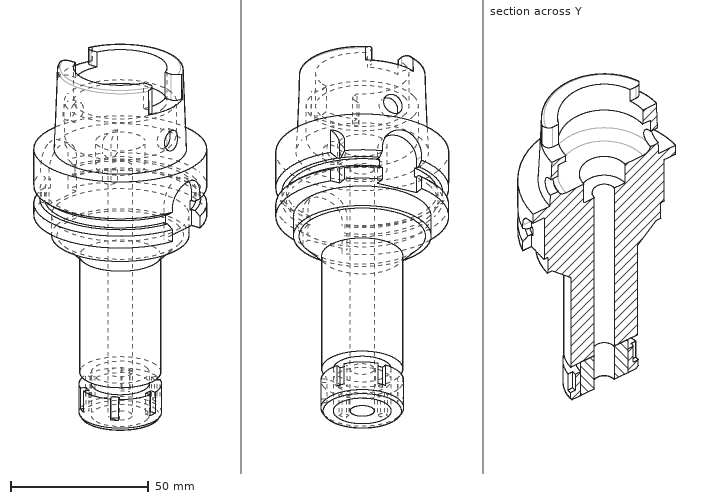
import cadquery as cq
import math

total_height = 137.0
taper_length = 32.0
flange_top = total_height - taper_length
flange_bottom = flange_top - 26.0
collar_bottom = flange_bottom - 8.0
cone_bottom = collar_bottom - 8.1
neck_height = 4.5
nut_height = 12.5
shank_bottom = nut_height + neck_height

taper_top_radius = 22.9
taper_base_radius = 24.1
taper_edge_round = 1.0
flange_radius = 31.5
collar_radius = 25.1
cone_top_radius = 23.0
shank_radius = 14.8

groove_radius = 27.5
groove_top = flange_top - 16.2
groove_width = 3.5
groove_chamfer_height = 1.6
groove_chamfer_depth = 2.2

clamp_bore_radius = 17.0
clamp_bore_depth = 13.3
undercut_radius = 20.4
undercut_round = undercut_radius - clamp_bore_radius
clamp_bore_floor = total_height - 29.2
back_bore_radius = 9.0
back_bore_depth = 9.6
through_radius = 4.4

drive_slot_width = 12.6
drive_slot_round = 2.5
left_drive_slot_depth = 5.9
right_drive_slot_depth = 10.1

access_hole_radius = 3.8
access_hole_height = total_height - 22.7

gripper_slot_width = 16.2
gripper_slot_floor = 26.6
gripper_slot_center = flange_top - 12.9
notch_corner = 20.3
notch_radius = 5.8
notch_center = flange_top - 10.8

collet_radius = 10.5
nut_radius = 15.1
nut_chamfer_height = 1.2
nut_chamfer_depth = 0.8
nut_slot_count = 6
nut_slot_width = 3.0
nut_slot_depth = 8.2
nut_slot_floor = 12.9


def cylinder(radius, bottom, top):
    return cq.Workplane("XY").workplane(offset=bottom).circle(radius).extrude(top - bottom)


def block(x_range, y_range, z_range):
    """Box between the given pairs of limits."""
    sizes = [high - low for low, high in (x_range, y_range, z_range)]
    return cq.Workplane("XY").box(*sizes, centered=False).translate((x_range[0], y_range[0], z_range[0]))


def holder_blank():
    """Turned outside of the holder, from the taper down to the shank."""
    groove_bottom = groove_top - groove_width
    chamfer_radius = flange_radius - groove_chamfer_depth
    taper = (
        cq.Workplane("XZ")
        .moveTo(0, flange_top)
        .lineTo(taper_base_radius, flange_top)
        .lineTo(taper_top_radius, total_height)
        .lineTo(0, total_height)
        .close()
        .revolve(360, (0, 0), (0, 1))
        .faces(">Z")
        .edges()
        .fillet(taper_edge_round)
    )
    lower_part = (
        cq.Workplane("XZ")
        .moveTo(0, flange_top)
        .lineTo(flange_radius, flange_top)
        .lineTo(flange_radius, groove_top + groove_chamfer_height)
        .lineTo(chamfer_radius, groove_top)
        .lineTo(groove_radius, groove_top)
        .lineTo(groove_radius, groove_bottom)
        .lineTo(chamfer_radius, groove_bottom)
        .lineTo(flange_radius, groove_bottom - groove_chamfer_height)
        .lineTo(flange_radius, flange_bottom)
        .lineTo(collar_radius, flange_bottom)
        .lineTo(collar_radius, collar_bottom)
        .lineTo(cone_top_radius, collar_bottom)
        .lineTo(shank_radius, cone_bottom)
        .lineTo(shank_radius, shank_bottom)
        .lineTo(0, shank_bottom)
        .close()
        .revolve(360, (0, 0), (0, 1))
    )
    return taper.union(lower_part)


def holder_bore():
    """Stepped bore: clamping bore with an undercut, back bore and through hole."""
    undercut_start = total_height - clamp_bore_depth
    back_bore_floor = clamp_bore_floor - back_bore_depth
    return (
        cq.Workplane("XZ")
        .moveTo(0, total_height)
        .lineTo(clamp_bore_radius, total_height)
        .lineTo(clamp_bore_radius, undercut_start)
        .lineTo(undercut_radius, undercut_start)
        .lineTo(undercut_radius, clamp_bore_floor + undercut_round)
        .radiusArc((undercut_radius - undercut_round, clamp_bore_floor), undercut_round)
        .lineTo(back_bore_radius, clamp_bore_floor)
        .lineTo(back_bore_radius, back_bore_floor)
        .lineTo(through_radius, back_bore_floor)
        .lineTo(through_radius, shank_bottom)
        .lineTo(0, shank_bottom)
        .close()
        .revolve(360, (0, 0), (0, 1))
    )


def drive_slot(side, depth):
    """Slot across one side of the taper wall, flaring outward with rounded mouth corners."""
    half_width = drive_slot_width / 2
    round_y = half_width + drive_slot_round
    round_x = math.sqrt((taper_top_radius - drive_slot_round) ** 2 - round_y**2)
    reach = taper_top_radius / (taper_top_radius - drive_slot_round)
    mouth_x = round_x * reach
    mouth_y = round_y * reach
    middle_angle = (math.atan2(mouth_y - round_y, mouth_x - round_x) - math.pi / 2) / 2
    middle_x = round_x + drive_slot_round * math.cos(middle_angle)
    middle_y = round_y + drive_slot_round * math.sin(middle_angle)
    return (
        cq.Workplane("XY")
        .workplane(offset=total_height - depth)
        .moveTo(0, -half_width)
        .lineTo(side * round_x, -half_width)
        .threePointArc((side * middle_x, -middle_y), (side * mouth_x, -mouth_y))
        .lineTo(side * flange_radius, -mouth_y)
        .lineTo(side * flange_radius, mouth_y)
        .lineTo(side * mouth_x, mouth_y)
        .threePointArc((side * middle_x, middle_y), (side * round_x, half_width))
        .lineTo(0, half_width)
        .close()
        .extrude(depth)
    )


def round_topped_slot(floor_x, center_y, center_z, radius):
    """Slot cut from the -X side down through the flange, with a round upper end."""
    length = flange_radius - floor_x
    round_end = (
        cq.Workplane("YZ")
        .workplane(offset=-flange_radius)
        .center(center_y, center_z)
        .circle(radius)
        .extrude(length)
    )
    straight_part = block(
        (-flange_radius, -floor_x),
        (center_y - radius, center_y + radius),
        (flange_bottom, center_z),
    )
    return round_end.union(straight_part)


def make_holder():
    holder = holder_blank().cut(holder_bore())
    holder = holder.cut(drive_slot(-1, left_drive_slot_depth))
    holder = holder.cut(drive_slot(1, right_drive_slot_depth))

    access_hole = (
        cq.Workplane("YZ")
        .center(0, access_hole_height)
        .circle(access_hole_radius)
        .extrude(flange_radius, both=True)
    )
    holder = holder.cut(access_hole)

    gripper_slot = round_topped_slot(gripper_slot_floor, 0, gripper_slot_center, gripper_slot_width / 2)
    holder = holder.cut(gripper_slot).cut(gripper_slot.mirror("YZ"))

    notch = round_topped_slot(notch_corner, notch_corner + notch_radius, notch_center, notch_radius)
    return holder.cut(notch)


def make_collet():
    """Sleeve filling the nut and standing up to the end of the shank."""
    return cylinder(collet_radius, 0, shank_bottom).cut(cylinder(through_radius, 0, shank_bottom))


def make_nut():
    """Ring around the collet with wrench slots open at its upper face."""
    nut = (
        cq.Workplane("XZ")
        .moveTo(collet_radius, 0)
        .lineTo(nut_radius - nut_chamfer_depth, 0)
        .lineTo(nut_radius, nut_chamfer_height)
        .lineTo(nut_radius, nut_height)
        .lineTo(collet_radius, nut_height)
        .close()
        .revolve(360, (0, 0), (0, 1))
    )
    wrench_slot = block(
        (nut_slot_floor, nut_radius),
        (-nut_slot_width / 2, nut_slot_width / 2),
        (nut_height - nut_slot_depth, nut_height),
    )
    for index in range(nut_slot_count):
        angle = index * 360 / nut_slot_count
        nut = nut.cut(wrench_slot.rotate((0, 0, 0), (0, 0, 1), angle))
    return nut


holder = make_holder()
collet = make_collet()
nut = make_nut()

result = cq.Compound.makeCompound([holder.val(), collet.val(), nut.val()])